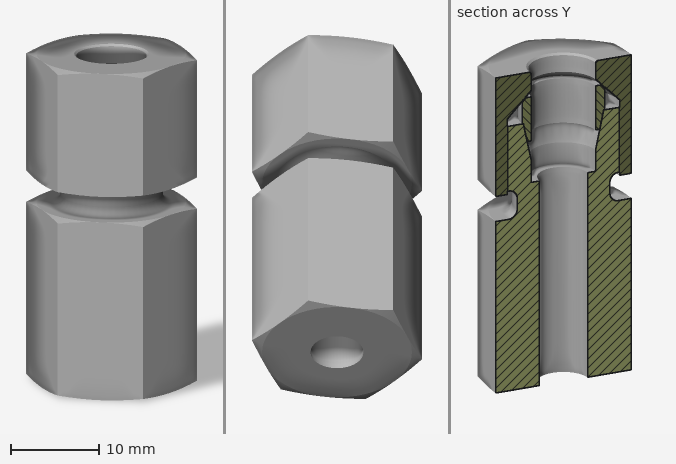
import cadquery as cq
import math

total_height = 38.5
across_flats = 17.0
corner_chamfer_angle = 15.0

body_hex_height = 21.0
neck_radius = 11.7 / 2
neck_fillet = 1.0
neck_top = 23.37
stud_radius = 14.0 / 2
stud_top = 32.35
bore_radius = 6.0 / 2
tube_radius = 8.0 / 2
tube_stop = 25.02
mouth_radius = 10.0 / 2
mouth_angle = 12.0

nut_bottom = 24.0
nut_cone_top = 36.23
nut_hole_chamfer = 0.25

ring_top = 35.45
ring_radius = 10.4 / 2
ring_bottom = 30.03

mouth_slope = math.tan(math.radians(mouth_angle))
mouth_bottom = stud_top - (mouth_radius - tube_radius) / mouth_slope


def revolve_profile(profile):
    """Turn a closed (radius, height) outline around the Z axis."""
    return profile.close().revolve(360, (0, 0, 0), (0, 1, 0))


def chamfered_hexagon(bottom, top):
    """Hexagonal prism with flats facing X and turned conical corners at both ends."""
    flat_radius = across_flats / 2
    corner_radius = flat_radius / math.cos(math.radians(30))
    drop = (corner_radius - flat_radius) * math.tan(math.radians(corner_chamfer_angle))
    prism = (
        cq.Workplane("XY", origin=(0, 0, bottom))
        .polygon(6, 2 * corner_radius)
        .extrude(top - bottom)
        .rotate((0, 0, 0), (0, 0, 1), 30)
    )
    envelope = revolve_profile(
        cq.Workplane("XZ")
        .moveTo(0, bottom)
        .lineTo(flat_radius, bottom)
        .lineTo(corner_radius, bottom + drop)
        .lineTo(corner_radius, top - drop)
        .lineTo(flat_radius, top)
        .lineTo(0, top)
    )
    return prism.intersect(envelope)


def make_body():
    """Hexagon with an undercut neck, a stud inside the nut and a stepped bore."""
    fillet_end_radius = neck_radius + neck_fillet
    arc_offset = neck_fillet * math.sqrt(0.5)
    neck_bottom = body_hex_height + neck_fillet
    stud_bottom = neck_top + neck_fillet
    stud = revolve_profile(
        cq.Workplane("XZ")
        .moveTo(0, body_hex_height)
        .lineTo(fillet_end_radius, body_hex_height)
        .threePointArc(
            (fillet_end_radius - arc_offset, neck_bottom - arc_offset),
            (neck_radius, neck_bottom),
        )
        .lineTo(neck_radius, neck_top)
        .threePointArc(
            (fillet_end_radius - arc_offset, neck_top + arc_offset),
            (fillet_end_radius, stud_bottom),
        )
        .lineTo(stud_radius, stud_bottom)
        .lineTo(stud_radius, stud_top)
        .lineTo(0, stud_top)
    )
    bore = revolve_profile(
        cq.Workplane("XZ")
        .moveTo(0, 0)
        .lineTo(bore_radius, 0)
        .lineTo(bore_radius, tube_stop)
        .lineTo(tube_radius, tube_stop)
        .lineTo(tube_radius, mouth_bottom)
        .lineTo(mouth_radius, stud_top)
        .lineTo(0, stud_top)
    )
    return chamfered_hexagon(0, body_hex_height).union(stud).cut(bore)


def make_ring():
    """Ring with a 45 degree shoulder against the nut and a taper in the body mouth."""
    shoulder_radius = tube_radius + nut_cone_top - ring_top
    shoulder_bottom = nut_cone_top - (ring_radius - tube_radius)
    tip_radius = mouth_radius - (stud_top - ring_bottom) * mouth_slope
    return revolve_profile(
        cq.Workplane("XZ")
        .moveTo(tube_radius, ring_bottom)
        .lineTo(tip_radius, ring_bottom)
        .lineTo(mouth_radius, stud_top)
        .lineTo(ring_radius, stud_top)
        .lineTo(ring_radius, shoulder_bottom)
        .lineTo(shoulder_radius, ring_top)
        .lineTo(tube_radius, ring_top)
    )


def make_nut():
    """Hexagonal nut bored for the stud, with a clamping cone and a tube hole."""
    cone_bottom = nut_cone_top - (stud_radius - tube_radius)
    cavity = revolve_profile(
        cq.Workplane("XZ")
        .moveTo(0, nut_bottom)
        .lineTo(stud_radius, nut_bottom)
        .lineTo(stud_radius, cone_bottom)
        .lineTo(tube_radius, nut_cone_top)
        .lineTo(tube_radius, total_height - nut_hole_chamfer)
        .lineTo(tube_radius + nut_hole_chamfer, total_height)
        .lineTo(0, total_height)
    )
    return chamfered_hexagon(nut_bottom, total_height).cut(cavity)


body = make_body()
ring = make_ring()
nut = make_nut()

result = cq.Compound.makeCompound([body.val(), ring.val(), nut.val()])